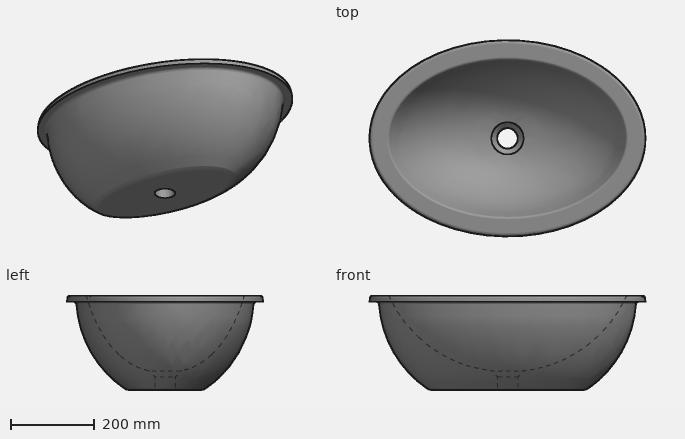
import cadquery as cq

rim_length = 660.0
rim_width = 469.5
rim_thickness = 15.0
rim_edge_radius = 7.0
rim_side_draft = 2.0
total_height = 225.83

neck_inset = 22.5
base_inset = 143.5
mid_inset = 60.0
mid_depth = 139.0
neck_fillet = 6.0
base_fillet = 22.0
outer_levels = 8

mouth_inset = 46.0
lip_radius = 6.0
inner_mid_radius = 208.0
inner_mid_depth = 103.6
floor_depth = 179.0
inner_levels = 8

drain_diameter = 48.49
drain_entry_diameter = 77.0
flare_depth = 15.0

level_tolerance = 1.0

rim_a = rim_length / 2
rim_b = rim_width / 2


def ellipse_wire(semi_x, semi_y, depth):
    """Horizontal ellipse centred on the Z axis, at a depth below the rim top."""
    return cq.Wire.makeEllipse(
        semi_x, semi_y, cq.Vector(0, 0, -depth), cq.Vector(0, 0, 1), cq.Vector(1, 0, 0)
    )


def loft(wires):
    """Solid skinned smoothly through a stack of closed wires."""
    return cq.Workplane(obj=cq.Solid.makeLoft(wires))


def make_rim():
    bottom = ellipse_wire(rim_a, rim_b, rim_thickness)
    top = ellipse_wire(rim_a - rim_side_draft, rim_b - rim_side_draft, 0)
    return loft([bottom, top]).faces(">Z").edges().fillet(rim_edge_radius)


def make_outer_bowl():
    profile = cq.Edge.makeThreePointArc(
        cq.Vector(neck_inset, rim_thickness),
        cq.Vector(mid_inset, mid_depth),
        cq.Vector(base_inset, total_height),
    )
    wires = []
    for i in range(outer_levels + 1):
        point = profile.positionAt(i / outer_levels)
        wires.append(ellipse_wire(rim_a - point.x, rim_b - point.x, point.y))
    bowl = loft(wires)
    return bowl.faces("<Z").edges().fillet(base_fillet)


def make_inner_bowl():
    drain_radius = drain_entry_diameter / 2
    mouth_a = rim_a - mouth_inset
    mouth_b = rim_b - mouth_inset
    profile = cq.Edge.makeThreePointArc(
        cq.Vector(mouth_a, 0),
        cq.Vector(inner_mid_radius, inner_mid_depth),
        cq.Vector(drain_radius, floor_depth),
    )
    wires = []
    for i in range(inner_levels + 1):
        point = profile.positionAt(i / inner_levels)
        spread = (point.x - drain_radius) / (mouth_a - drain_radius)
        semi_y = drain_radius + spread * (mouth_b - drain_radius)
        wires.append(ellipse_wire(point.x, semi_y, point.y))
    return loft(wires)


def make_drain():
    entry_radius = drain_entry_diameter / 2
    hole_radius = drain_diameter / 2
    flare_end = floor_depth + flare_depth
    return (
        cq.Workplane("XZ")
        .moveTo(0, -floor_depth)
        .lineTo(entry_radius, -floor_depth)
        .lineTo(hole_radius, -flare_end)
        .lineTo(hole_radius, -total_height)
        .lineTo(0, -total_height)
        .close()
        .revolve(360, (0, 0, 0), (0, 1, 0))
    )


def round_neck(body):
    """Fillet the corner where the bowl meets the underside of the rim."""
    level_band = cq.selectors.BoxSelector(
        (-rim_a, -rim_b, -rim_thickness - level_tolerance),
        (rim_a, rim_b, -rim_thickness + level_tolerance),
    )
    shortest = cq.selectors.LengthNthSelector(0)
    return body.edges(level_band).edges(shortest).fillet(neck_fillet)


def round_lip(body):
    """Round the inner edge of the rim's top face."""
    shortest = cq.selectors.LengthNthSelector(0)
    return body.faces(">Z").edges(shortest).fillet(lip_radius)


body = round_neck(make_rim().union(make_outer_bowl()))
body = round_lip(body.cut(make_inner_bowl()))
result = body.cut(make_drain())